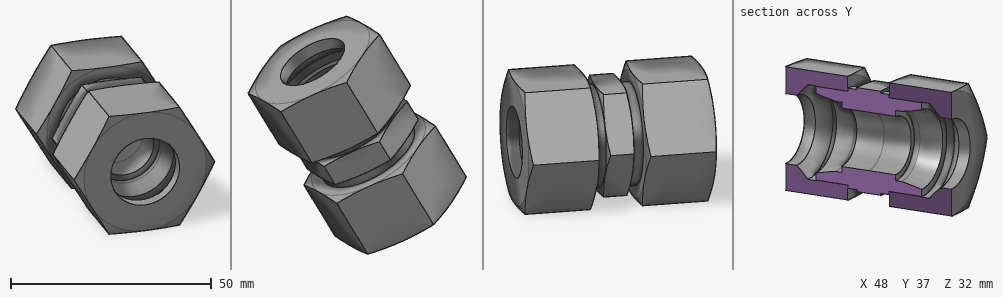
import cadquery as cq
import math

OVERALL_LENGTH = 48.0

NUT_LENGTH = 18.0
NUT_ACROSS_FLATS = 32.0
TUBE_DIAMETER = 18.0
NUT_MOUTH_LENGTH = 3.25
NUT_CONE_HALF_ANGLE = 45.0

THREAD_DIAMETER = 24.4

BODY_LENGTH = 30.7
BODY_HEX_ACROSS_FLATS = 27.0
BODY_HEX_WIDTH = 7.0
COLLAR_DIAMETER = 26.0
THROUGH_DIAMETER = 15.0
SEAT_DIAMETER = 20.5
SEAT_HALF_ANGLE = 12.0
SOCKET_DEPTH = 7.5

HEX_SIDES = 6
HEX_CHAMFER_ANGLE = 15.0

half_length = OVERALL_LENGTH / 2
nut_inner_face = half_length - NUT_LENGTH
body_half_length = BODY_LENGTH / 2


def turned(profile):
    """Revolve a closed outline of (x, radius) points about the X axis."""
    return cq.Workplane("XY").polyline(profile).close().revolve(360, (0, 0, 0), (1, 0, 0))


def chamfered_hexagon(x_start, x_end, across_flats):
    """Hexagonal prism along X, flats up and down, with turned corners at both ends."""
    flat_radius = across_flats / 2
    corner_radius = flat_radius / math.cos(math.pi / HEX_SIDES)
    chamfer_length = (corner_radius - flat_radius) * math.tan(math.radians(HEX_CHAMFER_ANGLE))
    prism = (
        cq.Workplane("YZ", origin=(x_start, 0, 0))
        .polygon(HEX_SIDES, 2 * corner_radius)
        .extrude(x_end - x_start)
    )
    envelope = turned([
        (x_start, 0),
        (x_start, flat_radius),
        (x_start + chamfer_length, corner_radius),
        (x_end - chamfer_length, corner_radius),
        (x_end, flat_radius),
        (x_end, 0),
    ])
    return prism.intersect(envelope)


def make_nut():
    """Nut on the +X end: tube bore at the mouth, a cone, then the wide thread bore."""
    tube_radius = TUBE_DIAMETER / 2
    thread_radius = THREAD_DIAMETER / 2
    cone_start = half_length - NUT_MOUTH_LENGTH
    cone_length = (thread_radius - tube_radius) / math.tan(math.radians(NUT_CONE_HALF_ANGLE))
    cavity = turned([
        (nut_inner_face, 0),
        (nut_inner_face, thread_radius),
        (cone_start - cone_length, thread_radius),
        (cone_start, tube_radius),
        (half_length, tube_radius),
        (half_length, 0),
    ])
    return chamfered_hexagon(nut_inner_face, half_length, NUT_ACROSS_FLATS).cut(cavity)


def make_body():
    """Body: centre hexagon, collars up to the nuts, threaded ends and a stepped bore."""
    collar = cq.Workplane("YZ").circle(COLLAR_DIAMETER / 2).extrude(nut_inner_face, both=True)
    threaded_ends = cq.Workplane("YZ").circle(THREAD_DIAMETER / 2).extrude(body_half_length, both=True)
    hexagon = chamfered_hexagon(-BODY_HEX_WIDTH / 2, BODY_HEX_WIDTH / 2, BODY_HEX_ACROSS_FLATS)
    return hexagon.union(collar).union(threaded_ends).cut(body_bore())


def body_bore():
    """Through bore with, at each end, a tube socket behind a conical seat."""
    through_radius = THROUGH_DIAMETER / 2
    socket_radius = TUBE_DIAMETER / 2
    seat_radius = SEAT_DIAMETER / 2
    socket_floor = body_half_length - SOCKET_DEPTH
    seat_length = (seat_radius - socket_radius) / math.tan(math.radians(SEAT_HALF_ANGLE))
    half_bore = turned([
        (0, 0),
        (0, through_radius),
        (socket_floor, through_radius),
        (socket_floor, socket_radius),
        (body_half_length - seat_length, socket_radius),
        (body_half_length, seat_radius),
        (body_half_length, 0),
    ])
    return half_bore.union(half_bore.mirror("YZ"))


body = make_body()

nuts = []
for turn_angle in (0, 180):
    nuts.append(make_nut().rotate((0, 0, 0), (0, 0, 1), turn_angle))

result = cq.Compound.makeCompound([body.val(), *[nut.val() for nut in nuts]])